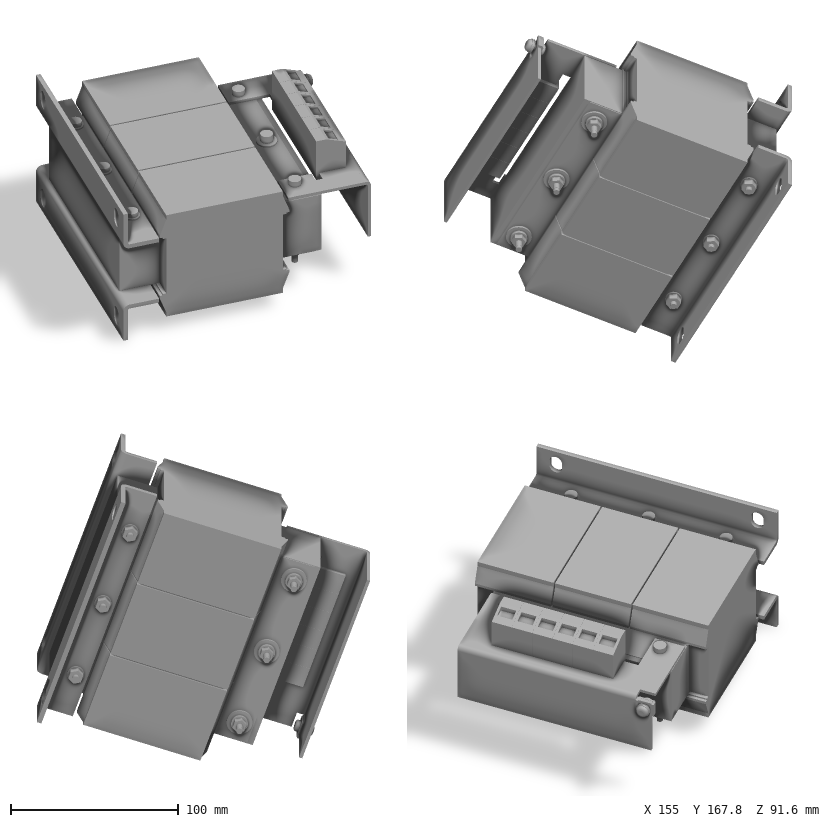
import cadquery as cq


CORE_WIDTH = 125.0
CORE_HALF_HEIGHT = 20.0
CORE_REAR = 130.9
SHEET_THICKNESS = 0.5
SHEET_REAR = 127.2
SHEET_INSET = 0.5
STACK_HALF_HEIGHT = CORE_HALF_HEIGHT + SHEET_THICKNESS

COIL_PITCH = 50.0
COIL_WIDTH = 49.0
COIL_HALF_HEIGHT = 36.7
COIL_FRONT = 28.2
COIL_REAR = 102.0
COIL_EDGE_HEIGHT = 33.5
COIL_LIP = 4.0
COIL_LIP_HEIGHT = 22.8
LINER_HALF_HEIGHT = 21.0
LINER_LIP = 2.2
COIL_CENTRES = [-COIL_PITCH, 0, COIL_PITCH]

END_PLATE_OVERHANG = 0.5
END_PLATE_WIDTH = CORE_WIDTH + 2 * END_PLATE_OVERHANG
END_PLATE_THICKNESS = 0.8
END_PLATE_FRONTS = (COIL_REAR, 105.0)

BRACKET_WIDTH = 155.0
BRACKET_DEPTH = 22.7
BRACKET_TOP = 45.8
BRACKET_THICKNESS = 2.9
BRACKET_BEND_RADIUS = 4.0
SLOT_SPACING = 130.0
SLOT_WIDTH = 8.0
SLOT_LENGTH = 12.0
SLOT_HEIGHT = 35.5

PLATE_THICKNESS = 2.0
PLATE_TOP = STACK_HALF_HEIGHT + PLATE_THICKNESS
PLATE_FRONT = 109.7
PLATE_REAR = 162.1
PLATE_BEND_RADIUS = 3.0
PLATE_LIP_BOTTOM = -17.5
OPENING_HALF_WIDTH = 43.3
WINDOW_RIGHT = 50.5
WINDOW_FRONT = 131.2
WINDOW_REAR = 135.8
NOTCH_WIDTH = 9.9
NOTCH_FRONT = 155.4

TERMINAL_COUNT = 6
TERMINAL_PITCH = 13.1
TERMINAL_CENTRE_X = 5.0
TERMINAL_FRONT = 133.9
TERMINAL_REAR = 152.9
TERMINAL_BOTTOM = 17.8
TERMINAL_TOP = BRACKET_TOP
TERMINAL_SLOPE_FRONT = 140.3
TERMINAL_REAR_TOP = 41.3
TERMINAL_JOINT = 0.2
POCKET_WIDTH = 9.7
POCKET_FRONT = 142.1
POCKET_REAR = 148.2
POCKET_FLOOR = 42.0

FRONT_BOLT_Y = 15.1
REAR_BOLT_Y = 118.3
BOLT_HEAD_RADIUS = 3.9
BOLT_RADIUS = 2.0
FRONT_NUT_CORNERS = 9.0
REAR_NUT_CORNERS = 8.4
WASHER_RADIUS = 5.0
WASHER_THICKNESS = 1.0
FRONT_HEAD_TOP = 27.2
FRONT_NUT_BOTTOM = -28.4
FRONT_BOLT_BOTTOM = -31.0
REAR_HEAD_TOP = 26.3
MIDDLE_WASHER_RADIUS = 6.4
WIDE_WASHER_RADIUS = 7.7
WIDE_WASHER_THICKNESS = 1.3
REAR_WASHER_BOTTOM = -23.7
REAR_NUT_BOTTOM = -27.0
REAR_BOLT_BOTTOM = -33.5
REAR_BOLT_TIP_LENGTH = 2.2
REAR_BOLT_TIP_RADIUS = 1.8

EARTH_X = -58.4
EARTH_Z = 15.6
CLAMP_WIDTH = 11.7
CLAMP_EAR = 1.7
CLAMP_HEIGHT = 8.9
CLAMP_FRONT = 158.7
CLAMP_REAR = 162.8
CLAMP_BASE_WIDTH = 10.4
CLAMP_BASE_THICKNESS = 0.7
CLAMP_WEB_THICKNESS = 0.3
EARTH_FRONT = 156.0
EARTH_REAR = 167.8
EARTH_NUT_RADIUS = 3.5
EARTH_NUT_ROUND = 1.3
EARTH_SHANK_RADIUS = 2.2
EARTH_WASHER_RADIUS = 4.2
EARTH_WASHER_THICKNESS = 0.3
EARTH_WASHER_FRONTS = (163.8, 165.1)
EARTH_HEAD_RADIUS = 3.9
EARTH_HEAD_ROUND = 2.0


def block(x_range, y_range, z_range):
    """Box between the given limits."""
    (x0, x1), (y0, y1), (z0, z1) = x_range, y_range, z_range
    return cq.Workplane("XY").box(x1 - x0, y1 - y0, z1 - z0, centered=False).translate((x0, y0, z0))


def centred(width):
    """Limits of a width centred on zero."""
    return (-width / 2, width / 2)


def both_ways(half):
    """Limits at equal distances either side of zero."""
    return (-half, half)


def extrude_across(points, width, x_centre=0):
    """Extrude a closed Y-Z outline along X, centred on x_centre."""
    profile = cq.Workplane("YZ", origin=(x_centre, 0, 0)).polyline(points).close()
    return profile.extrude(width / 2, both=True)


def upright_disc(x, y, radius, bottom, top):
    return cq.Workplane("XY", origin=(x, y, bottom)).circle(radius).extrude(top - bottom)


def earth_disc(radius, front, rear):
    """Disc on the earth screw axis, which runs along Y."""
    plane = cq.Workplane("XZ", origin=(EARTH_X, front, EARTH_Z))
    return plane.circle(radius).extrude(front - rear)


def make_core():
    core = block(centred(CORE_WIDTH), (BRACKET_THICKNESS, CORE_REAR), both_ways(CORE_HALF_HEIGHT))
    sheet_width = CORE_WIDTH - 2 * SHEET_INSET
    sheets = block(centred(sheet_width), (BRACKET_THICKNESS, SHEET_REAR), both_ways(STACK_HALF_HEIGHT))
    core = core.union(sheets)
    for front in END_PLATE_FRONTS:
        plate_y = (front, front + END_PLATE_THICKNESS)
        core = core.union(block(centred(END_PLATE_WIDTH), plate_y, both_ways(STACK_HALF_HEIGHT)))
    return core


def make_coil(x_centre):
    """Coil with sloped overhanging ends above and below the core, and thin liners inside them."""
    front_lip = COIL_FRONT - COIL_LIP
    rear_lip = COIL_REAR + COIL_LIP
    upper_end = [
        (COIL_FRONT, COIL_HALF_HEIGHT),
        (COIL_FRONT, COIL_EDGE_HEIGHT),
        (front_lip, COIL_LIP_HEIGHT),
        (front_lip, LINER_HALF_HEIGHT),
        (COIL_FRONT, LINER_HALF_HEIGHT),
    ]
    front = upper_end + [(y, -z) for y, z in reversed(upper_end)]
    rear = [(front_lip + rear_lip - y, z) for y, z in reversed(front)]
    coil = extrude_across(front + rear, COIL_WIDTH, x_centre)
    liner_x = (x_centre - COIL_WIDTH / 2, x_centre + COIL_WIDTH / 2)
    for z_range in ((CORE_HALF_HEIGHT, LINER_HALF_HEIGHT), (-LINER_HALF_HEIGHT, -CORE_HALF_HEIGHT)):
        coil = coil.union(block(liner_x, (COIL_FRONT - LINER_LIP, COIL_REAR + LINER_LIP), z_range))
    return coil


def make_bracket():
    """Upper angle bracket with its two mounting slots."""
    bend_inner = BRACKET_BEND_RADIUS - BRACKET_THICKNESS
    outer = block(centred(BRACKET_WIDTH), (0, BRACKET_DEPTH), (STACK_HALF_HEIGHT, BRACKET_TOP))
    outer = outer.edges("|X and <Y and <Z").fillet(BRACKET_BEND_RADIUS)
    inner = block(
        centred(BRACKET_WIDTH),
        (BRACKET_THICKNESS, BRACKET_DEPTH),
        (STACK_HALF_HEIGHT + BRACKET_THICKNESS, BRACKET_TOP),
    )
    inner = inner.edges("|X and <Y and <Z").fillet(bend_inner)
    slots = (
        cq.Workplane("XZ")
        .pushPoints([(-SLOT_SPACING / 2, SLOT_HEIGHT), (SLOT_SPACING / 2, SLOT_HEIGHT)])
        .slot2D(SLOT_LENGTH, SLOT_WIDTH, 90)
        .extrude(-BRACKET_THICKNESS)
    )
    return outer.cut(inner).cut(slots)


def make_terminal_plate():
    """U-shaped plate bent down along its rear edge."""
    half = CORE_WIDTH / 2
    outer = block(centred(CORE_WIDTH), (PLATE_FRONT, PLATE_REAR), (PLATE_LIP_BOTTOM, PLATE_TOP))
    outer = outer.edges("|X and >Y and >Z").fillet(PLATE_BEND_RADIUS)
    inner = block(
        centred(CORE_WIDTH),
        (PLATE_FRONT, PLATE_REAR - PLATE_THICKNESS),
        (PLATE_LIP_BOTTOM, STACK_HALF_HEIGHT),
    )
    inner = inner.edges("|X and >Y and >Z").fillet(PLATE_BEND_RADIUS - PLATE_THICKNESS)
    plate_z = (STACK_HALF_HEIGHT, PLATE_TOP)
    opening = block(both_ways(OPENING_HALF_WIDTH), (PLATE_FRONT, WINDOW_FRONT), plate_z)
    window = block((-OPENING_HALF_WIDTH, WINDOW_RIGHT), (WINDOW_FRONT, WINDOW_REAR), plate_z)
    notch = block((-half, -half + NOTCH_WIDTH), (NOTCH_FRONT, PLATE_REAR),
                  (EARTH_Z + CLAMP_HEIGHT / 2, PLATE_TOP))
    return outer.cut(inner).cut(opening).cut(window).cut(notch)


def make_terminals():
    """Row of sloped terminal blocks with a pocket in each sloped top."""
    row_width = TERMINAL_COUNT * TERMINAL_PITCH
    profile = [
        (TERMINAL_FRONT, TERMINAL_BOTTOM),
        (TERMINAL_REAR, TERMINAL_BOTTOM),
        (TERMINAL_REAR, TERMINAL_REAR_TOP),
        (TERMINAL_SLOPE_FRONT, TERMINAL_TOP),
        (TERMINAL_FRONT, TERMINAL_TOP),
    ]
    joint_profile = cq.Workplane("YZ").polyline(profile).close().offset2D(-TERMINAL_JOINT)
    row = joint_profile.extrude(row_width / 2 - TERMINAL_JOINT, both=True)
    row = row.translate((TERMINAL_CENTRE_X, 0, 0))
    first_x = TERMINAL_CENTRE_X - (row_width - TERMINAL_PITCH) / 2
    centres = [first_x + index * TERMINAL_PITCH for index in range(TERMINAL_COUNT)]
    for x in centres:
        row = row.union(extrude_across(profile, TERMINAL_PITCH - TERMINAL_JOINT, x))
    for x in centres:
        pocket_x = (x - POCKET_WIDTH / 2, x + POCKET_WIDTH / 2)
        row = row.cut(block(pocket_x, (POCKET_FRONT, POCKET_REAR), (POCKET_FLOOR, TERMINAL_TOP)))
    return row


def make_nut_and_stud(x, y, across_corners, nut_top, nut_bottom, stud_bottom):
    nut = cq.Workplane("XY", origin=(x, y, nut_bottom)).polygon(6, across_corners)
    stud = upright_disc(x, y, BOLT_RADIUS, stud_bottom, nut_top)
    return nut.extrude(nut_top - nut_bottom).union(stud)


def make_front_bolt(x):
    seat = STACK_HALF_HEIGHT + BRACKET_THICKNESS
    washer_face = seat + WASHER_THICKNESS
    bolt = upright_disc(x, FRONT_BOLT_Y, WASHER_RADIUS, seat, washer_face)
    bolt = bolt.union(upright_disc(x, FRONT_BOLT_Y, BOLT_HEAD_RADIUS, washer_face, FRONT_HEAD_TOP))
    bolt = bolt.union(upright_disc(x, FRONT_BOLT_Y, WASHER_RADIUS, -washer_face, -seat))
    return bolt.union(
        make_nut_and_stud(
            x, FRONT_BOLT_Y, FRONT_NUT_CORNERS, -washer_face, FRONT_NUT_BOTTOM, FRONT_BOLT_BOTTOM
        )
    )


def make_rear_bolt(x):
    wide_bottom = -STACK_HALF_HEIGHT - WIDE_WASHER_THICKNESS
    bolt = upright_disc(x, REAR_BOLT_Y, BOLT_HEAD_RADIUS, STACK_HALF_HEIGHT, REAR_HEAD_TOP)
    bolt = bolt.union(
        upright_disc(x, REAR_BOLT_Y, WIDE_WASHER_RADIUS, wide_bottom, -STACK_HALF_HEIGHT)
    )
    bolt = bolt.union(upright_disc(x, REAR_BOLT_Y, WASHER_RADIUS, REAR_WASHER_BOTTOM, wide_bottom))
    tip_top = REAR_BOLT_BOTTOM + REAR_BOLT_TIP_LENGTH
    bolt = bolt.union(
        make_nut_and_stud(
            x, REAR_BOLT_Y, REAR_NUT_CORNERS, REAR_WASHER_BOTTOM, REAR_NUT_BOTTOM, tip_top
        )
    )
    return bolt.union(upright_disc(x, REAR_BOLT_Y, REAR_BOLT_TIP_RADIUS, REAR_BOLT_BOTTOM, tip_top))


def make_earth_screw():
    """Clamp with side ears on the rear lip, held by a round-headed screw."""
    clamp_z = (EARTH_Z - CLAMP_HEIGHT / 2, EARTH_Z + CLAMP_HEIGHT / 2)
    half = CLAMP_WIDTH / 2
    half_base = CLAMP_BASE_WIDTH / 2
    base_rear = CLAMP_FRONT + CLAMP_BASE_THICKNESS
    channel_front = base_rear + CLAMP_WEB_THICKNESS
    clamp = block((EARTH_X - half, EARTH_X + half), (base_rear, CLAMP_REAR), clamp_z)
    channel_x = (EARTH_X - half + CLAMP_EAR, EARTH_X + half - CLAMP_EAR)
    clamp = clamp.cut(block(channel_x, (channel_front, CLAMP_REAR), clamp_z))
    base_x = (EARTH_X - half_base, EARTH_X + half_base)
    screw = clamp.union(block(base_x, (CLAMP_FRONT, base_rear), clamp_z))
    nut = earth_disc(EARTH_NUT_RADIUS, EARTH_FRONT, CLAMP_FRONT)
    nut = nut.faces("<Y").edges().fillet(EARTH_NUT_ROUND)
    head_front = EARTH_WASHER_FRONTS[0]
    head = earth_disc(EARTH_HEAD_RADIUS, head_front, EARTH_REAR)
    head = head.faces(">Y").edges().fillet(EARTH_HEAD_ROUND)
    shank = earth_disc(EARTH_SHANK_RADIUS, CLAMP_FRONT, head_front)
    screw = screw.union(nut).union(shank).union(head)
    for front in EARTH_WASHER_FRONTS:
        screw = screw.union(earth_disc(EARTH_WASHER_RADIUS, front, front + EARTH_WASHER_THICKNESS))
    return screw


bracket = make_bracket()
result = make_core()
for coil_x in COIL_CENTRES:
    result = result.union(make_coil(coil_x))
result = result.union(bracket).union(bracket.mirror("XY"))
result = result.union(make_terminal_plate()).union(make_terminals())
for bolt_x in COIL_CENTRES:
    result = result.union(make_front_bolt(bolt_x)).union(make_rear_bolt(bolt_x))
middle_washer_top = STACK_HALF_HEIGHT + WASHER_THICKNESS
result = result.union(
    upright_disc(0, REAR_BOLT_Y, MIDDLE_WASHER_RADIUS, STACK_HALF_HEIGHT, middle_washer_top)
)
result = result.union(make_earth_screw())